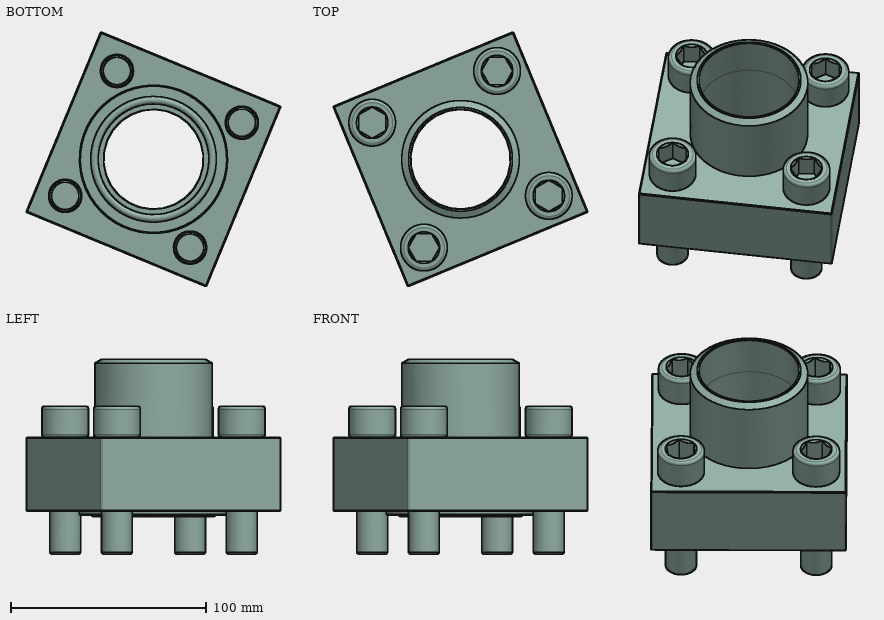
import cadquery as cq
import math

flange_turn = 22.5

block_side = 100.0
block_height = 38.0
block_corner_radius = 0.6
block_rim_chamfer = 0.5

screw_count = 4
screw_circle_diameter = 98.0
screw_start_angle = 45.0
shank_diameter = 16.0
shank_length = 60.0
shank_tip_chamfer = 1.0
head_diameter = 24.0
head_height = 16.0
head_edge_radius = 1.6
socket_across_flats = 14.0
socket_depth = 12.0
socket_sides = 6
socket_corner_diameter = socket_across_flats / math.cos(math.pi / socket_sides)
socket_mouth_taper = 45.0
socket_mouth_width = (socket_corner_diameter - socket_across_flats) / 2
socket_mouth_depth = socket_mouth_width / math.tan(math.radians(socket_mouth_taper))
screw_hole_diameter = 17.0

block_top = shank_length
block_bottom = block_top - block_height
face_height = 2.0
face_bottom = block_bottom - face_height
flange_top = 100.0

neck_diameter = 60.3
neck_bevel_angle = 30.0
neck_land = 1.0
face_diameter = 76.0
face_chamfer = 0.5
neck_bore_diameter = 51.3
neck_bore_depth = 20.0
bore_diameter = 51.0

ring_inner_diameter = 56.7
ring_outer_diameter = 64.47
ring_section = (ring_outer_diameter - ring_inner_diameter) / 2
ring_protrusion = 0.7
ring_center_radius = (ring_inner_diameter + ring_section) / 2
ring_center_z = face_bottom - ring_protrusion + ring_section / 2


def make_block():
    return (
        cq.Workplane("XY")
        .workplane(offset=block_bottom)
        .rect(block_side, block_side)
        .extrude(block_height)
        .edges("|Z")
        .fillet(block_corner_radius)
        .faces("<Z or >Z")
        .chamfer(block_rim_chamfer)
    )


def make_neck():
    bevel_width = (neck_diameter - neck_bore_diameter) / 2 - neck_land
    bevel_height = bevel_width * math.tan(math.radians(neck_bevel_angle))
    neck_radius = neck_diameter / 2
    return (
        cq.Workplane("XZ")
        .moveTo(0, block_bottom)
        .lineTo(neck_radius, block_bottom)
        .lineTo(neck_radius, flange_top - bevel_height)
        .lineTo(neck_radius - bevel_width, flange_top)
        .lineTo(0, flange_top)
        .close()
        .revolve(360, (0, 0, 0), (0, 1, 0))
    )


def make_face():
    return (
        cq.Workplane("XY")
        .workplane(offset=face_bottom)
        .circle(face_diameter / 2)
        .extrude(face_height + block_rim_chamfer)
        .faces("<Z")
        .chamfer(face_chamfer)
    )


def make_bore():
    taper_top = flange_top - neck_bore_depth
    return (
        cq.Workplane("XZ")
        .moveTo(0, face_bottom)
        .lineTo(bore_diameter / 2, face_bottom)
        .lineTo(neck_bore_diameter / 2, taper_top)
        .lineTo(neck_bore_diameter / 2, flange_top)
        .lineTo(0, flange_top)
        .close()
        .revolve(360, (0, 0, 0), (0, 1, 0))
    )


def make_ring():
    return (
        cq.Workplane("XZ")
        .center(ring_center_radius, ring_center_z)
        .circle(ring_section / 2)
        .revolve(360, (-ring_center_radius, 0, 0), (-ring_center_radius, 1, 0))
    )


def make_groove():
    groove_top = ring_center_z + ring_section / 2
    return (
        cq.Workplane("XY")
        .workplane(offset=face_bottom)
        .circle(ring_center_radius + ring_section / 2)
        .circle(ring_center_radius - ring_section / 2)
        .extrude(groove_top - face_bottom)
    )


def place_on_screw_circle(shape, index):
    first_angle = math.radians(flange_turn + screw_start_angle)
    first_x = screw_circle_diameter / 2 * math.cos(first_angle)
    first_y = screw_circle_diameter / 2 * math.sin(first_angle)
    return shape.translate((first_x, first_y, 0)).rotate((0, 0, 0), (0, 0, 1), index * 360 / screw_count)


def make_screw():
    shank = (
        cq.Workplane("XY")
        .circle(shank_diameter / 2)
        .extrude(shank_length)
        .faces("<Z")
        .chamfer(shank_tip_chamfer)
    )
    head = (
        cq.Workplane("XY")
        .workplane(offset=shank_length)
        .circle(head_diameter / 2)
        .extrude(head_height)
        .faces("<Z or >Z")
        .edges()
        .fillet(head_edge_radius)
    )
    socket = (
        cq.Workplane("XY")
        .workplane(offset=shank_length + head_height - socket_depth)
        .polygon(socket_sides, socket_corner_diameter)
        .extrude(socket_depth)
    )
    socket_mouth = (
        cq.Workplane("XY")
        .workplane(offset=shank_length + head_height)
        .circle(socket_corner_diameter / 2)
        .extrude(-socket_mouth_depth, taper=socket_mouth_taper)
    )
    return shank.union(head).cut(socket).cut(socket_mouth)


def make_screw_holes():
    return (
        cq.Workplane("XY")
        .workplane(offset=block_bottom)
        .polarArray(screw_circle_diameter / 2, screw_start_angle, 360, screw_count)
        .circle(screw_hole_diameter / 2)
        .extrude(block_height)
    )


def make_flange():
    flange = make_block().union(make_neck()).union(make_face())
    flange = flange.cut(make_bore()).cut(make_groove()).cut(make_screw_holes())
    return flange.rotate((0, 0, 0), (0, 0, 1), flange_turn)


flange = make_flange()
ring = make_ring()
screws = [place_on_screw_circle(make_screw(), index) for index in range(screw_count)]

result = cq.Compound.makeCompound([flange.val(), ring.val(), *[screw.val() for screw in screws]])